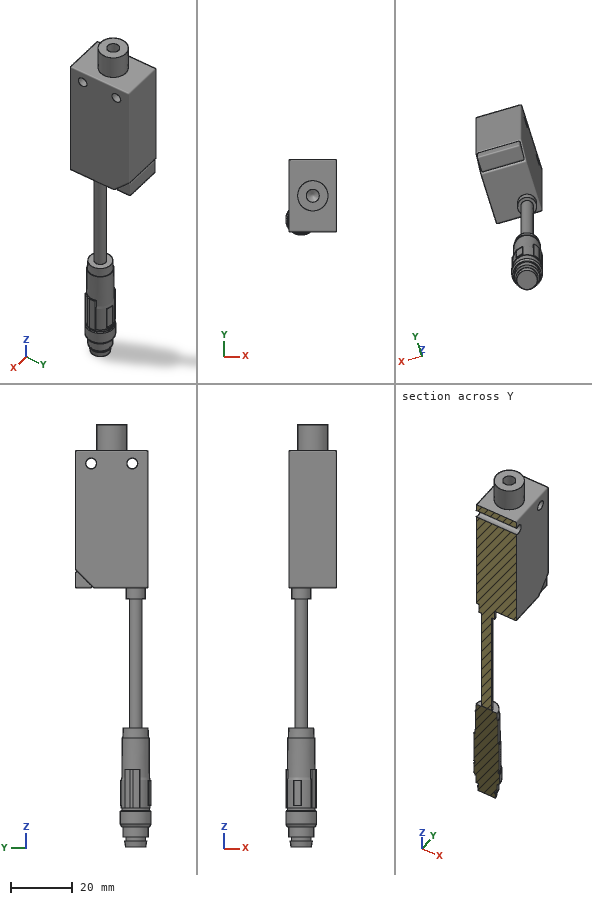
import cadquery as cq
import math

HOUSING_WIDTH = 15.5
HOUSING_DEPTH = 23.5
HOUSING_HEIGHT = 44.5
EDGE_FILLET = 0.5
CABLE_INSET = 4.0
WEST = -CABLE_INSET
SOUTH = -CABLE_INSET
EAST = WEST + HOUSING_WIDTH
NORTH = SOUTH + HOUSING_DEPTH
CENTER_X = (WEST + EAST) / 2
CENTER_Y = (SOUTH + NORTH) / 2

MOUNT_HOLE_DIAMETER = 3.4
MOUNT_HOLE_INSET = 5.1
MOUNT_HOLE_DROP = 4.2

BOSS_DIAMETER = 9.8
BOSS_HEIGHT = 8.4
BORE_DIAMETER = 4.2
BORE_DEPTH = 6.0
DRILL_POINT_ANGLE = 118

WINDOW_LEG = 6.0
WINDOW_INSET = 0.55

GROMMET_RADIUS = 3.1
GROMMET_LENGTH = 3.5
CABLE_RADIUS = 2.05
CABLE_END = -45.2

PLUG_TURN = -15
PLUG_LENGTH = 38.6
SLEEVE_TOP_RADIUS = 4.05
SLEEVE_END_RADIUS = 4.2
SLEEVE_LENGTH = 3.3
TAPER_TOP_RADIUS = 4.4
TAPER_END_RADIUS = 4.5
TAPER_END = 16.1
BARREL_RADIUS = 4.7
BARREL_TOP = 16.9
BARREL_END = 26.0
NECK_RADIUS = 4.5
COLLAR_RADIUS = 5.0
COLLAR_TOP = 26.8
COLLAR_END = 32.1
COLLAR_TOP_CHAMFER = 0.3
COLLAR_END_CHAMFER = 0.5
COLLAR_END_CHAMFER_LENGTH = 0.9
SPIGOT_RADIUS = 4.1
SPIGOT_END = 35.4
TIP_NECK_RADIUS = 3.2
TIP_TOP = 36.6
TIP_TOP_RADIUS = 3.6
TIP_END_RADIUS = 3.3

GRIP_RADIUS = 4.95
GRIP_WIDTH = 5.0
GRIP_TOP = 13.5
GRIP_RIB_REACH = 5.02
GRIP_RIB_WIDTH = 1.0
FLAT_REACH = 4.8
FLAT_WIDTH = 2.5
FLAT_TOP = 17.1
FLAT_END = 25.1


def cylinder(radius, bottom, height):
    return cq.Workplane("XY").workplane(offset=bottom).circle(radius).extrude(height)


def corner_prism(inset=0):
    """Triangle in the lower +Y corner, running through the housing width."""
    return (
        cq.Workplane("YZ")
        .workplane(offset=WEST + inset)
        .moveTo(NORTH, 0)
        .lineTo(NORTH - WINDOW_LEG, 0)
        .lineTo(NORTH, WINDOW_LEG)
        .close()
        .extrude(HOUSING_WIDTH - 2 * inset)
    )


def make_housing():
    block = (
        cq.Workplane("XY")
        .box(HOUSING_WIDTH, HOUSING_DEPTH, HOUSING_HEIGHT, centered=False)
        .translate((WEST, SOUTH, 0))
        .cut(corner_prism())
        .edges()
        .fillet(EDGE_FILLET)
    )
    for hole_y in (SOUTH + MOUNT_HOLE_INSET, NORTH - MOUNT_HOLE_INSET):
        hole = (
            cq.Workplane("YZ")
            .workplane(offset=WEST)
            .center(hole_y, HOUSING_HEIGHT - MOUNT_HOLE_DROP)
            .circle(MOUNT_HOLE_DIAMETER / 2)
            .extrude(HOUSING_WIDTH)
        )
        block = block.cut(hole)
    boss = cylinder(BOSS_DIAMETER / 2, HOUSING_HEIGHT, BOSS_HEIGHT)
    grommet = cylinder(GROMMET_RADIUS, -GROMMET_LENGTH, GROMMET_LENGTH)
    cable = cylinder(CABLE_RADIUS, CABLE_END, -GROMMET_LENGTH - CABLE_END)
    return (
        block.union(boss.translate((CENTER_X, CENTER_Y, 0)))
        .cut(make_bore().translate((CENTER_X, CENTER_Y, 0)))
        .union(grommet)
        .union(cable)
    )


def make_bore():
    """Drilled bore with a conical floor, on the Z axis."""
    radius = BORE_DIAMETER / 2
    top = HOUSING_HEIGHT + BOSS_HEIGHT
    shoulder = top - BORE_DEPTH
    point_depth = radius / math.tan(math.radians(DRILL_POINT_ANGLE / 2))
    return (
        cq.Workplane("XZ")
        .moveTo(0, top)
        .lineTo(radius, top)
        .lineTo(radius, shoulder)
        .lineTo(0, shoulder - point_depth)
        .close()
        .revolve(360, (0, 0, 0), (0, 1, 0))
    )


def make_window():
    return corner_prism(WINDOW_INSET).edges().fillet(EDGE_FILLET)


def plug_core():
    """Stepped round body of the connector, its top face at Z = 0."""
    profile = [
        (0, 0),
        (SLEEVE_TOP_RADIUS, 0),
        (SLEEVE_END_RADIUS, -SLEEVE_LENGTH),
        (TAPER_TOP_RADIUS, -SLEEVE_LENGTH),
        (TAPER_END_RADIUS, -TAPER_END),
        (BARREL_RADIUS, -BARREL_TOP),
        (BARREL_RADIUS, -BARREL_END),
        (NECK_RADIUS, -BARREL_END),
        (NECK_RADIUS, -COLLAR_TOP),
        (COLLAR_RADIUS - COLLAR_TOP_CHAMFER, -COLLAR_TOP),
        (COLLAR_RADIUS, -COLLAR_TOP - COLLAR_TOP_CHAMFER),
        (COLLAR_RADIUS, -COLLAR_END + COLLAR_END_CHAMFER_LENGTH),
        (COLLAR_RADIUS - COLLAR_END_CHAMFER, -COLLAR_END),
        (SPIGOT_RADIUS, -COLLAR_END),
        (SPIGOT_RADIUS, -SPIGOT_END),
        (TIP_NECK_RADIUS, -SPIGOT_END),
        (TIP_NECK_RADIUS, -TIP_TOP),
        (TIP_TOP_RADIUS, -TIP_TOP),
        (TIP_END_RADIUS, -PLUG_LENGTH),
        (0, -PLUG_LENGTH),
    ]
    return cq.Workplane("XZ").polyline(profile).close().revolve(360, (0, 0, 0), (0, 1, 0))


def slab(size_x, size_y, top, end):
    """Box centred on the connector axis between two distances below its top."""
    return cq.Workplane("XY").workplane(offset=-end).rect(size_x, size_y).extrude(end - top)


def make_plug():
    grips = cylinder(GRIP_RADIUS, -BARREL_END, BARREL_END - GRIP_TOP).intersect(
        slab(2 * COLLAR_RADIUS, GRIP_WIDTH, GRIP_TOP, BARREL_END)
    )
    ribs = slab(2 * GRIP_RIB_REACH, GRIP_RIB_WIDTH, GRIP_TOP, BARREL_END)
    flats = slab(FLAT_WIDTH, 2 * FLAT_REACH, FLAT_TOP, FLAT_END)
    return (
        plug_core()
        .union(grips)
        .union(ribs)
        .union(flats)
        .rotate((0, 0, 0), (0, 0, 1), PLUG_TURN)
        .translate((0, 0, CABLE_END))
    )


housing = make_housing()
window = make_window()
plug = make_plug()

result = cq.Compound.makeCompound([housing.val(), window.val(), plug.val()])